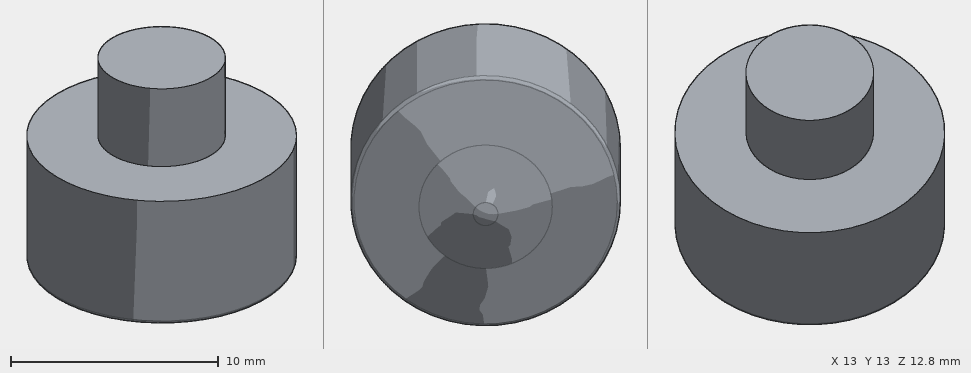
import cadquery as cq
import math

total_height = 12.77
body_diameter = 13
stem_diameter = 6.15
stem_height = 4.29
cone_angle = math.radians(11)
cone_inner_radius = 3.21
flare_bottom_radius = 0.6
flare_bottom_angle = math.radians(28)
rim_fillet = 0.2

body_radius = body_diameter / 2
stem_radius = stem_diameter / 2
shoulder_z = total_height - stem_height

tip_height = flare_bottom_radius * math.tan(flare_bottom_angle / 2)

flare_chord_angle = (cone_angle + flare_bottom_angle) / 2
flare_width = cone_inner_radius - flare_bottom_radius
flare_top_z = tip_height + flare_width * math.tan(flare_chord_angle)
rim_z = flare_top_z + (body_radius - cone_inner_radius) * math.tan(cone_angle)

rim_setback = rim_fillet * math.tan((math.pi / 2 - cone_angle) / 2)
rim_cone_radius = body_radius - rim_setback * math.cos(cone_angle)
rim_cone_z = rim_z - rim_setback * math.sin(cone_angle)

half_section = (
    cq.Workplane("XZ")
    .lineTo(0, total_height)
    .lineTo(stem_radius, total_height)
    .lineTo(stem_radius, shoulder_z)
    .lineTo(body_radius, shoulder_z)
    .lineTo(body_radius, rim_z + rim_setback)
    .tangentArcPoint((rim_cone_radius, rim_cone_z), relative=False)
    .lineTo(cone_inner_radius, flare_top_z)
    .tangentArcPoint((flare_bottom_radius, tip_height), relative=False)
    .tangentArcPoint((0, 0), relative=False)
    .close()
)
result = half_section.revolve(360, (0, 0), (0, 1))